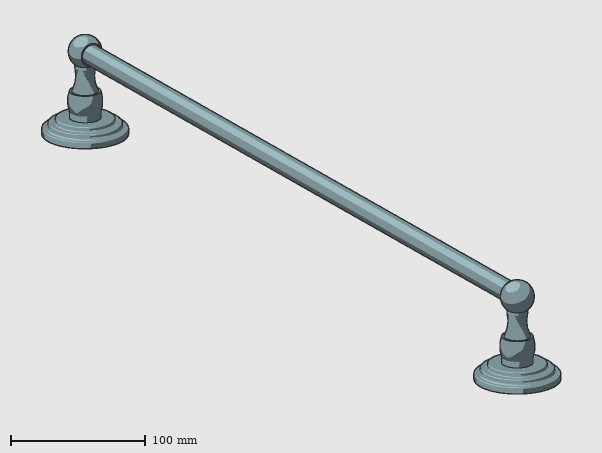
import cadquery as cq
import math

post_spacing = 609.6
overall_height = 78.12

ball_radius = 12.7
ball_height = overall_height - ball_radius
ball_face_offset = 9.0
ball_face_radius = math.sqrt(ball_radius**2 - ball_face_offset**2)

bar_radius = 7.94
bar_length = post_spacing - 2 * ball_face_offset

lower_tier_radius = 32.51
lower_tier_top = 5.05
middle_tier_radius = 27.84
middle_tier_top = 9.3
upper_tier_radius = 22.3
upper_tier_top = 13.0
tier_rounding = 1.15
lower_cove_radius = 2.1
upper_cove_radius = 1.3

foot_radius = 11.8
foot_top = 17.7
bulge_radius = 13.2
bulge_height = 25.5
shoulder_top = 34.0
shoulder_radius = 11.8
flare_radius = 10.0
waist_radius = 7.1
waist_height = 44.0
collar_radius = 7.8
collar_bottom = 52.5

profile_plane = cq.Plane(origin=(0, 0, 0), xDir=(0, -1, 0), normal=(-1, 0, 0))

QUARTER_ARC = math.sqrt(0.5)


def add_rim(profile, wall_radius, top):
    """Continue the profile up a tier wall and over its convex rim."""
    middle = tier_rounding * (1 - QUARTER_ARC)
    return (
        profile
        .lineTo(wall_radius, top - tier_rounding)
        .threePointArc((wall_radius - middle, top - middle), (wall_radius - tier_rounding, top))
    )


def add_cove(profile, tread_height, wall_radius, cove_radius):
    """Continue the profile across a tread and up a concave round into the next wall."""
    middle = cove_radius * (1 - QUARTER_ARC)
    return (
        profile
        .lineTo(wall_radius + cove_radius, tread_height)
        .threePointArc(
            (wall_radius + middle, tread_height + middle),
            (wall_radius, tread_height + cove_radius),
        )
    )


def make_base():
    profile = cq.Workplane(profile_plane).lineTo(lower_tier_radius, 0)
    profile = add_rim(profile, lower_tier_radius, lower_tier_top)
    profile = add_cove(profile, lower_tier_top, middle_tier_radius, lower_cove_radius)
    profile = add_rim(profile, middle_tier_radius, middle_tier_top)
    profile = add_cove(profile, middle_tier_top, upper_tier_radius, upper_cove_radius)
    profile = add_rim(profile, upper_tier_radius, upper_tier_top)
    return profile.lineTo(0, upper_tier_top).close().revolve(360, (0, 0, 0), (0, 1, 0))


def make_stem():
    """Foot ring, rounded bulge, concave waist and collar, running up into the ball."""
    return (
        cq.Workplane(profile_plane)
        .moveTo(0, upper_tier_top)
        .lineTo(foot_radius, upper_tier_top)
        .lineTo(foot_radius, foot_top)
        .threePointArc((bulge_radius, bulge_height), (shoulder_radius, shoulder_top))
        .lineTo(flare_radius, shoulder_top)
        .threePointArc((waist_radius, waist_height), (collar_radius, collar_bottom))
        .lineTo(collar_radius, ball_height)
        .lineTo(0, ball_height)
        .close()
        .revolve(360, (0, 0, 0), (0, 1, 0))
    )


def make_ball():
    """Ball on the post axis with its flat face toward +X."""
    return (
        cq.Workplane("XZ")
        .moveTo(-ball_radius, 0)
        .threePointArc((0, ball_radius), (ball_face_offset, ball_face_radius))
        .lineTo(ball_face_offset, 0)
        .close()
        .revolve(360, (0, 0, 0), (1, 0, 0))
        .translate((0, 0, ball_height))
    )


def make_post():
    """One-piece post on the Z axis, ready to receive the bar on its +X side."""
    return make_base().union(make_stem()).union(make_ball())


def make_bar():
    return (
        cq.Workplane("YZ", origin=(-bar_length / 2, 0, 0))
        .center(0, ball_height)
        .circle(bar_radius)
        .extrude(bar_length)
    )


posts = []
for turn in (0, 180):
    post = make_post().translate((-post_spacing / 2, 0, 0)).rotate((0, 0, 0), (0, 0, 1), turn)
    posts.append(post.val())

bar = make_bar()

result = cq.Compound.makeCompound([*posts, bar.val()])